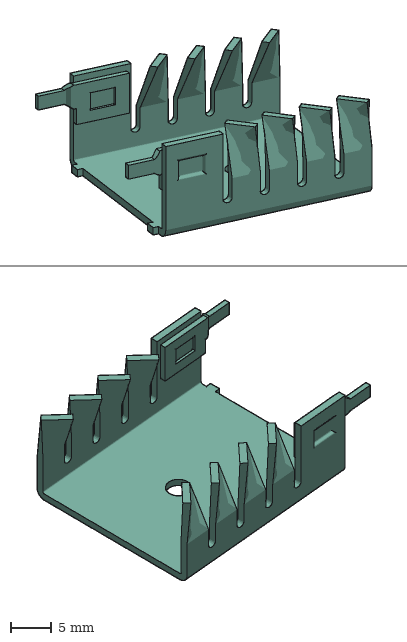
import cadquery as cq
import math

WIDTH = 25.4
HEIGHT = 12.7
LENGTH = 29.21
SHEET = 1.016
INNER_BEND = 0.254
OUTER_BEND = INNER_BEND + SHEET

HOLE_DIAMETER = 3.2
HOLE_TO_BACK = 12.25
BACK_Y = HOLE_TO_BACK
FRONT_Y = BACK_Y - LENGTH

TAB_WIDTH = 1.524
TAB_LENGTH = 0.762
TAB_INSET = 1.905

FIN_COUNT = 4
FIN_WIDTH = 4.0
SLOT_WIDTH = 1.27
FIN_PITCH = FIN_WIDTH + SLOT_WIDTH
SLOT_BOTTOM_Z = 3.175
TWIST_START_Z = HEIGHT / 2
TWIST_ANGLE = math.radians(45)

LEAD_THICKNESS = 0.762
PLATE_BOTTOM_Z = HEIGHT / 2
PLATE_TOP_Z = 11.81
PLATE_LENGTH = 7.49
PIN_REACH = 5.08
NECK_HEIGHT = 3.3
PIN_HEIGHT = 1.905
PIN_CENTER_Z = 10.11
CRANK_OFFSET = 0.635
CRANK_INNER_RADIUS = 0.54
CRANK_OUTER_RADIUS = CRANK_INNER_RADIUS + LEAD_THICKNESS
CRANK_ANGLE = math.radians(45)
CRANK_RADII = CRANK_INNER_RADIUS + CRANK_OUTER_RADIUS
CRANK_STRAIGHT = (CRANK_OFFSET - CRANK_RADII * (1 - math.cos(CRANK_ANGLE))) / math.sin(CRANK_ANGLE)
PIN_TIP_Y = FRONT_Y - PIN_REACH
CRANK_END_Y = FRONT_Y - CRANK_RADII * math.sin(CRANK_ANGLE) - CRANK_STRAIGHT * math.cos(CRANK_ANGLE)

STAKE_TO_FRONT = 3.735
STAKE_CENTER_Z = 9.1
DIMPLE_LENGTH = 4.18
DIMPLE_HEIGHT = 2.92
DIMPLE_DEPTH = 0.381
DIMPLE_INSET = 0.508
WINDOW_LENGTH = 3.58
WINDOW_HEIGHT = 2.38
STAKE_HEIGHT = DIMPLE_DEPTH

OUTER_X = -WIDTH / 2
INNER_X = OUTER_X + SHEET
STAKE_Y = FRONT_Y + STAKE_TO_FRONT


def block(x_range, y_range, z_range):
    """Box between two limits along each axis."""
    size = [high - low for low, high in (x_range, y_range, z_range)]
    corner = (x_range[0], y_range[0], z_range[0])
    return cq.Workplane("XY").box(*size, centered=False).translate(corner)


def on_side(shape, side):
    """Place a shape built for the -X wall on the -X (side -1) or +X (side +1) wall."""
    if side < 0:
        return shape
    return shape.mirror("YZ")


def channel():
    """Floor and two walls joined by rounded bends."""
    outside = cq.Workplane("XY").box(WIDTH, LENGTH, HEIGHT, centered=(True, False, False))
    outside = outside.edges("|Y and <Z").fillet(OUTER_BEND)
    inside = (
        cq.Workplane("XY")
        .box(WIDTH - 2 * SHEET, LENGTH, HEIGHT, centered=(True, False, False))
        .edges("|Y and <Z")
        .fillet(INNER_BEND)
        .translate((0, 0, SHEET))
    )
    return outside.cut(inside).translate((0, FRONT_Y, 0))


def front_tab():
    """Tab that carries the floor forward near one bend."""
    start_x = OUTER_X + TAB_INSET
    return block(
        (start_x, start_x + TAB_WIDTH),
        (FRONT_Y - TAB_LENGTH, FRONT_Y),
        (0, SHEET),
    )


def slot(fin_back_y):
    """Round-bottomed slot through both walls, just in front of one fin."""
    radius = SLOT_WIDTH / 2
    back_y = fin_back_y - FIN_WIDTH
    front_y = back_y - SLOT_WIDTH
    round_z = SLOT_BOTTOM_Z + radius
    return (
        cq.Workplane("YZ")
        .moveTo(back_y, HEIGHT)
        .lineTo(back_y, round_z)
        .threePointArc((back_y - radius, SLOT_BOTTOM_Z), (front_y, round_z))
        .lineTo(front_y, HEIGHT)
        .close()
        .extrude(WIDTH / 2, both=True)
    )


def twisted_fin(fin_back_y):
    """Fin tip that turns from the wall direction at its root to TWIST_ANGLE at its top.

    The turned top rectangle still touches the planes of the wall's outer face
    and of the fin's back edge.
    """
    cos_twist = math.cos(TWIST_ANGLE)
    sin_twist = math.sin(TWIST_ANGLE)
    corners = [(0, 0), (SHEET, 0), (SHEET, -FIN_WIDTH), (0, -FIN_WIDTH)]
    root = [
        cq.Vector(OUTER_X + x, fin_back_y + y, TWIST_START_Z)
        for x, y in corners
    ]
    top = [
        cq.Vector(
            OUTER_X + x * cos_twist - y * sin_twist,
            fin_back_y + x * sin_twist + y * cos_twist - SHEET * sin_twist,
            HEIGHT,
        )
        for x, y in corners
    ]
    wires = [cq.Wire.makePolygon(points, close=True) for points in (root, top)]
    return cq.Workplane(cq.Solid.makeLoft(wires, True))


def dimple_profile(plane, center, width, length):
    """Bar whose section is the dimple outline: two mirrored S-shaped flanks and a flat bottom."""
    half_inset = DIMPLE_INSET / 2
    half_depth = DIMPLE_DEPTH / 2
    flank_angle = 2 * math.atan(half_depth / half_inset)
    radius = half_inset / math.sin(flank_angle)
    mid_across = radius * math.sin(flank_angle / 2)
    mid_down = radius * (1 - math.cos(flank_angle / 2))
    rim = width / 2
    bottom = rim - DIMPLE_INSET
    face = OUTER_X
    floor = OUTER_X + DIMPLE_DEPTH
    return (
        cq.Workplane(plane, origin=center)
        .moveTo(face, rim)
        .threePointArc((face + mid_down, rim - mid_across), (face + half_depth, rim - half_inset))
        .threePointArc((floor - mid_down, bottom + mid_across), (floor, bottom))
        .lineTo(floor, -bottom)
        .threePointArc((floor - mid_down, -bottom - mid_across), (face + half_depth, half_inset - rim))
        .threePointArc((face + mid_down, mid_across - rim), (face, -rim))
        .close()
        .extrude(length / 2, both=True)
    )


def dimple():
    """Rectangular hollow punched in the wall's outer face; its flanks meet in mitred corners."""
    center = (0, STAKE_Y, STAKE_CENTER_Z)
    along_y = dimple_profile("XY", center, DIMPLE_LENGTH, DIMPLE_HEIGHT)
    along_z = dimple_profile("XZ", center, DIMPLE_HEIGHT, DIMPLE_LENGTH)
    return along_y.intersect(along_z)


def stake_block(height):
    """Block with the outline of the lead window, standing on the wall's inner face."""
    return block(
        (INNER_X, INNER_X + height),
        (STAKE_Y - WINDOW_LENGTH / 2, STAKE_Y + WINDOW_LENGTH / 2),
        (STAKE_CENTER_Z - WINDOW_HEIGHT / 2, STAKE_CENTER_Z + WINDOW_HEIGHT / 2),
    )


def make_heat_sink():
    """Channel with its hole, tabs, slotted and twisted fins and the two stakes."""
    body = channel()
    body = body.cut(cq.Workplane("XY").circle(HOLE_DIAMETER / 2).extrude(SHEET))

    fin_row = block(
        (OUTER_X, -OUTER_X),
        (BACK_Y - FIN_COUNT * FIN_PITCH, BACK_Y),
        (TWIST_START_Z, HEIGHT),
    )
    body = body.cut(fin_row)

    fin_back_edges = [BACK_Y - index * FIN_PITCH for index in range(FIN_COUNT)]
    for fin_back_y in fin_back_edges:
        body = body.cut(slot(fin_back_y))

    for side in (-1, 1):
        body = body.cut(on_side(dimple(), side))
        body = body.union(on_side(stake_block(STAKE_HEIGHT), side))
        body = body.union(on_side(front_tab(), side))
        for fin_back_y in fin_back_edges:
            body = body.union(on_side(twisted_fin(fin_back_y), side))
    return body


def crank_strip():
    """Neck and pin as a strip of constant thickness with two opposite bends, before tapering."""
    angle = CRANK_ANGLE
    inner = CRANK_INNER_RADIUS
    outer = CRANK_OUTER_RADIUS

    def bend_step(radius, turn):
        """Sideways (-X) and forward (-Y) travel along an arc that starts parallel to Y."""
        return -radius * (1 - math.cos(turn)), -radius * math.sin(turn)

    wall_x = INNER_X
    room_x = INNER_X + LEAD_THICKNESS
    pin_wall_x = wall_x - CRANK_OFFSET
    pin_room_x = room_x - CRANK_OFFSET

    def first_bend(start_x, radius, turn):
        across, forward = bend_step(radius, turn)
        return start_x + across, FRONT_Y + forward

    def second_bend(end_x, radius, turn):
        across, forward = bend_step(radius, turn)
        return end_x - across, CRANK_END_Y - forward

    return (
        cq.Workplane("XY")
        .moveTo(wall_x, FRONT_Y)
        .threePointArc(first_bend(wall_x, inner, angle / 2), first_bend(wall_x, inner, angle))
        .lineTo(*second_bend(pin_wall_x, outer, angle))
        .threePointArc(second_bend(pin_wall_x, outer, angle / 2), (pin_wall_x, CRANK_END_Y))
        .lineTo(pin_wall_x, PIN_TIP_Y)
        .lineTo(pin_room_x, PIN_TIP_Y)
        .lineTo(pin_room_x, CRANK_END_Y)
        .threePointArc(second_bend(pin_room_x, inner, angle / 2), second_bend(pin_room_x, inner, angle))
        .lineTo(*first_bend(room_x, outer, angle))
        .threePointArc(first_bend(room_x, outer, angle / 2), (room_x, FRONT_Y))
        .close()
        .extrude(HEIGHT)
    )


def neck_and_pin():
    """Cranked strip trimmed to a full-height neck that tapers down to the pin."""
    taper_start_y = FRONT_Y - CRANK_INNER_RADIUS * math.sin(CRANK_ANGLE)
    neck_bottom_z = PLATE_TOP_Z - NECK_HEIGHT
    pin_top_z = PIN_CENTER_Z + PIN_HEIGHT / 2
    pin_bottom_z = PIN_CENTER_Z - PIN_HEIGHT / 2
    side_outline = (
        cq.Workplane("YZ")
        .polyline([
            (FRONT_Y, PLATE_TOP_Z),
            (taper_start_y, PLATE_TOP_Z),
            (CRANK_END_Y, pin_top_z),
            (PIN_TIP_Y, pin_top_z),
            (PIN_TIP_Y, pin_bottom_z),
            (CRANK_END_Y, pin_bottom_z),
            (taper_start_y, neck_bottom_z),
            (FRONT_Y, neck_bottom_z),
        ])
        .close()
        .extrude(-WIDTH / 2)
    )
    return crank_strip().intersect(side_outline)


def make_lead(side):
    """Lead plate with a window for the stake, continued by its neck and pin."""
    plate = block(
        (INNER_X, INNER_X + LEAD_THICKNESS),
        (FRONT_Y, FRONT_Y + PLATE_LENGTH),
        (PLATE_BOTTOM_Z, PLATE_TOP_Z),
    )
    lead = plate.cut(stake_block(LEAD_THICKNESS)).union(neck_and_pin())
    return on_side(lead, side)


heat_sink = make_heat_sink()
leads = [make_lead(side) for side in (-1, 1)]

result = cq.Compound.makeCompound([
    heat_sink.solids().val(),
    *[lead.solids().val() for lead in leads],
])